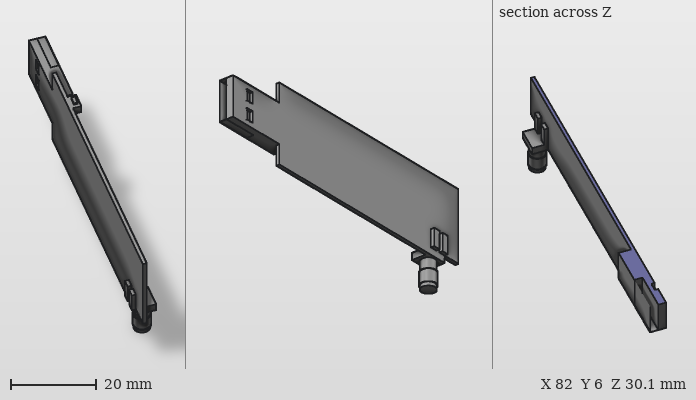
import cadquery as cq

board_left = 16.8
board_right = 82.0
board_height = 22.0
board_thickness = 1.0
lip_height = 2.0

plug_length = 19.8
plug_height = 11.15
plug_back = 4.1
plug_mid_z = board_height / 2
socket_depth = 9.8
tongue_thickness = plug_back / 2
shell_wall = 0.1
window_left = 5.1
window_width = 2.05
window_height = 3.1
window_depth = 0.8
window_offset = 2.55

button_mid_x = 27.1
button_width = 3.9
button_depth = 2.05
button_height = 2.0
plunger_width = 2.0
plunger_depth = 1.0
plunger_height = 0.5

jack_right = 77.0
jack_width = 5.9
jack_back = 5.0
jack_mid_x = jack_right - jack_width / 2
jack_mid_y = jack_back / 2
leg_width = 2.0
leg_thickness = 1.0
leg_length = 4.9
front_leg_spacing = 3.0
back_leg_spacing = jack_width - leg_width
barrel_diameter = 4.0
collar_diameter = 4.4
barrel_length = 7.55
collar_start = 2.95
collar_length = 3.5


def block(x, y, z, length, depth, height):
    """Box with its lowest corner at (x, y, z)."""
    return cq.Workplane("XY").box(length, depth, height, centered=False).translate((x, y, z))


def make_board():
    board = block(board_left, 0, 0, board_right - board_left, board_thickness, board_height)
    notch = block(jack_right, 0, 0, board_right - jack_right, board_thickness, lip_height)
    return board.cut(notch)


def make_plug():
    bottom = plug_mid_z - plug_height / 2
    plug = block(0, 0, bottom, plug_length, plug_back, plug_height)
    plug = plug.cut(
        block(
            0,
            tongue_thickness,
            bottom + shell_wall,
            socket_depth,
            plug_back - tongue_thickness - shell_wall,
            plug_height - 2 * shell_wall,
        )
    )
    for side in (-1, 1):
        window_bottom = plug_mid_z + side * window_offset - window_height / 2
        plug = plug.cut(block(window_left, 0, window_bottom, window_width, window_depth, window_height))
    return plug


def make_button():
    body = block(
        button_mid_x - button_width / 2,
        board_thickness,
        board_height - button_height,
        button_width,
        button_depth,
        button_height,
    )
    plunger = block(
        button_mid_x - plunger_width / 2,
        board_thickness + (button_depth - plunger_depth) / 2,
        board_height,
        plunger_width,
        plunger_depth,
        plunger_height,
    )
    return body.union(plunger)


def make_jack_legs(face_y, spacing):
    """Pair of legs lying on the board above the jack body."""
    right_leg_x = jack_right - leg_width
    legs = block(right_leg_x, face_y, lip_height, leg_width, leg_thickness, leg_length)
    return legs.union(legs.translate((-spacing, 0, 0)))


def make_jack():
    body_depth = jack_back - board_thickness
    body = block(jack_right - jack_width, board_thickness, 0, jack_width, body_depth, lip_height)
    axis = cq.Workplane("XY").center(jack_mid_x, jack_mid_y)
    barrel = axis.circle(barrel_diameter / 2).extrude(-barrel_length)
    collar = axis.workplane(offset=-collar_start).circle(collar_diameter / 2).extrude(-collar_length)
    jack = body.union(barrel).union(collar)
    jack = jack.union(make_jack_legs(-leg_thickness, front_leg_spacing))
    return jack.union(make_jack_legs(board_thickness, back_leg_spacing))


result = make_board().union(make_plug()).union(make_button()).union(make_jack())